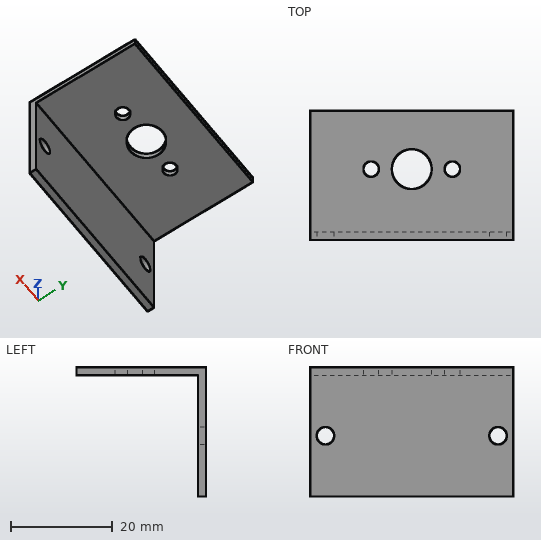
import cadquery as cq

length = 40.0
leg = 25.5
thickness = 1.6

bore_diameter = 7.8
screw_diameter = 3.0
screw_spacing = 16.0
bore_from_front = 14.0

mount_diameter = 3.4
mount_spacing = 34.0
mount_from_bottom = 12.0


def cylinder_through(center, direction, diameter):
    """Cutter that passes through one plate, starting at its outer face."""
    return cq.Workplane(
        cq.Solid.makeCylinder(diameter / 2, thickness, cq.Vector(*center), cq.Vector(*direction))
    )


angle = (
    cq.Workplane("YZ")
    .moveTo(0, 0)
    .lineTo(thickness, 0)
    .lineTo(thickness, leg - thickness)
    .lineTo(leg, leg - thickness)
    .lineTo(leg, leg)
    .lineTo(0, leg)
    .close()
    .extrude(length / 2, both=True)
)

result = angle.cut(cylinder_through((0, bore_from_front, leg), (0, 0, -1), bore_diameter))
for side in (-1, 1):
    screw_center = (side * screw_spacing / 2, bore_from_front, leg)
    mount_center = (side * mount_spacing / 2, 0, mount_from_bottom)
    result = result.cut(cylinder_through(screw_center, (0, 0, -1), screw_diameter))
    result = result.cut(cylinder_through(mount_center, (0, 1, 0), mount_diameter))